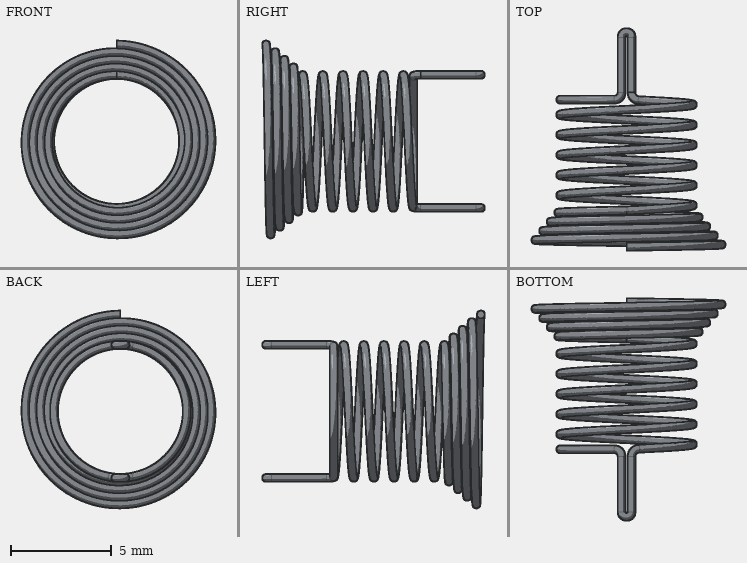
import cadquery as cq
import math

wire_diameter = 0.4
overall_length = 11.06
coil_radius = 3.3
coil_length = 5.5
coil_turns = 5.5
wide_radius = 4.81
cone_pitch = 0.45
cone_turns = 4
leg_spacing = 0.5
bend_radius = 0.35

wire_radius = wire_diameter / 2
hairpin_radius = leg_spacing / 2
coil_pitch = coil_length / coil_turns
cone_height = cone_pitch * cone_turns
coil_start_y = wire_radius + cone_height
half_ring_y = coil_start_y + coil_length
hairpin_center_y = overall_length - wire_radius - hairpin_radius

joint_angle = (
    math.asin(hairpin_radius / math.hypot(coil_radius, bend_radius))
    + math.atan2(bend_radius, coil_radius)
)
joint_x = coil_radius * math.sin(joint_angle)
joint_z = coil_radius * math.cos(joint_angle)
leg_z = joint_z + bend_radius * math.sin(joint_angle)

coil_slope = math.atan2(coil_pitch, 2 * math.pi * coil_radius)
coil_bend_radius = bend_radius / (1 - math.sin(coil_slope))

CYLINDRICAL = 360
AXIS = cq.Vector(0, 1, 0)


def wire_along(path):
    """Round wire following a path, with its end face square to the path."""
    section_plane = cq.Plane(origin=path.startPoint(), normal=path.tangentAt(0))
    section = cq.Workplane(section_plane).circle(wire_radius)
    return section.sweep(cq.Workplane(obj=path), isFrenet=True).val()


def helix(pitch, height, direction, cone_angle=CYLINDRICAL):
    """Right-handed helix starting at the top of the joint between cone and coil, going +Y or -Y."""
    curve = cq.Wire.makeHelix(pitch, height, coil_radius, angle=cone_angle)
    plane = cq.Plane(origin=(0, coil_start_y, 0), xDir=(0, 0, 1), normal=(0, direction, 0))
    return curve.moved(cq.Location(plane))


def straight(start, end):
    return wire_along(cq.Wire.assembleEdges([cq.Edge.makeLine(start, end)]))


def arc(start, middle, end):
    return wire_along(cq.Wire.assembleEdges([cq.Edge.makeThreePointArc(start, middle, end)]))


def bend_to_axis(start, travel, radius, slope=0):
    """Bend a wire heading along `travel`, rising by `slope`, until it runs along +Y.

    Returns the bent wire and the centreline point where it ends.
    """
    def point(heading):
        across = radius * (math.sin(heading) - math.sin(slope))
        along = radius * (math.cos(slope) - math.cos(heading))
        return start + travel * across + AXIS * along

    end_heading = math.pi / 2
    end = point(end_heading)
    return arc(start, point((slope + end_heading) / 2), end), end


def hairpin(left_y, right_y, z):
    """Two legs along Y from the given start places, joined by a U-turn at their tips."""
    left_tip = cq.Vector(-hairpin_radius, hairpin_center_y, z)
    right_tip = cq.Vector(hairpin_radius, hairpin_center_y, z)
    crown = cq.Vector(0, hairpin_center_y + hairpin_radius, z)
    return [
        straight(cq.Vector(-hairpin_radius, left_y, z), left_tip),
        arc(left_tip, crown, right_tip),
        straight(right_tip, cq.Vector(hairpin_radius, right_y, z)),
    ]


cone_angle = math.degrees(math.atan2(wide_radius - coil_radius, cone_height))
cone_slant = math.hypot(wide_radius - coil_radius, cone_height)
cone = wire_along(helix(cone_slant / cone_turns, cone_slant, -1, cone_angle))
coil_height = coil_pitch * (coil_turns - joint_angle / (2 * math.pi))
coil = wire_along(helix(coil_pitch, coil_height, 1))

ring_bottom = cq.Vector(-joint_x, half_ring_y, -joint_z)
ring_top = cq.Vector(-joint_x, half_ring_y, joint_z)
half_ring = arc(ring_bottom, cq.Vector(-coil_radius, half_ring_y, 0), ring_top)

coil_end = cq.Vector(joint_x, coil_start_y + coil_height, -joint_z)
inward = math.cos(joint_angle)
away = math.sin(joint_angle)
coil_bend, coil_leg_start = bend_to_axis(
    coil_end, cq.Vector(-inward, 0, -away), coil_bend_radius, coil_slope
)
bottom_bend, ring_leg_start = bend_to_axis(ring_bottom, cq.Vector(inward, 0, -away), bend_radius)
top_bend, _ = bend_to_axis(ring_top, cq.Vector(inward, 0, away), bend_radius)

leg_start_y = ring_leg_start.y
bottom_hairpin = hairpin(leg_start_y, coil_leg_start.y, -leg_z)
top_hairpin = hairpin(leg_start_y, leg_start_y, leg_z)

pieces = [coil, coil_bend, *bottom_hairpin, bottom_bend, half_ring, top_bend, *top_hairpin]
result = cq.Workplane(obj=cone.fuse(*pieces))